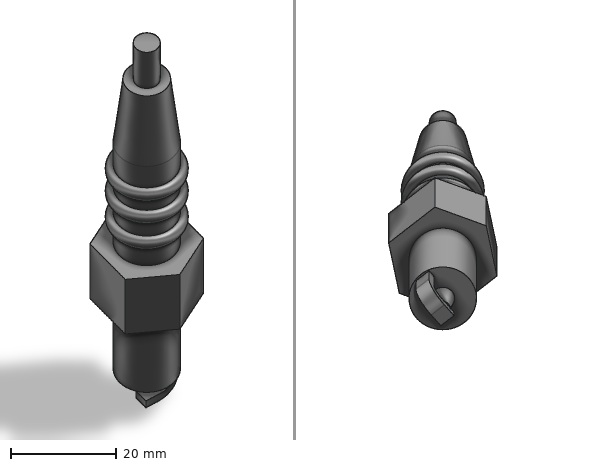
import cadquery as cq

total_height = 98.8
body_bottom = 8.8
lower_length = 20.0
nut_height = 15.1
taper_bottom = 71.3
taper_top = 88.8

body_radius = 6.4
taper_top_radius = 4.5
terminal_radius = 2.6

nut_across_corners = 21.5
nut_across_flats = 18.4
nut_flat_width = 11.5

ring_section_radius = 1.5
ring_heights = (50.6, 57.7, 63.9)

electrode_length = 5.0
electrode_base_radius = 2.3
electrode_tip_radius = 1.4

strap_width = 3.3
strap_outer_y = 6.0
strap_leg_thickness = 1.5
strap_foot_thickness = 1.9
strap_tip_y = -1.4
strap_outer_radius = 4.5
strap_inner_radius = 2.1

nut_bottom = body_bottom + lower_length


def make_core():
    """Revolve the body, its upper taper, the terminal and the electrode."""
    electrode_bottom = body_bottom - electrode_length
    return (
        cq.Workplane("XZ")
        .moveTo(0, electrode_bottom)
        .lineTo(electrode_tip_radius, electrode_bottom)
        .lineTo(electrode_base_radius, body_bottom)
        .lineTo(body_radius, body_bottom)
        .lineTo(body_radius, taper_bottom)
        .lineTo(taper_top_radius, taper_top)
        .lineTo(terminal_radius, taper_top)
        .lineTo(terminal_radius, total_height)
        .lineTo(0, total_height)
        .close()
        .revolve(360, (0, 0, 0), (0, 1, 0))
    )


def make_nut():
    half_corners = nut_across_corners / 2
    half_flats = nut_across_flats / 2
    half_width = nut_flat_width / 2
    corners = [
        (half_corners, 0),
        (half_width, half_flats),
        (-half_width, half_flats),
        (-half_corners, 0),
        (-half_width, -half_flats),
        (half_width, -half_flats),
    ]
    return (
        cq.Workplane("XY")
        .workplane(offset=nut_bottom)
        .polyline(corners)
        .close()
        .extrude(nut_height)
    )


def make_ring(height):
    return (
        cq.Workplane("XZ")
        .center(body_radius, height)
        .circle(ring_section_radius)
        .revolve(360, (-body_radius, 0, 0), (-body_radius, 1, 0))
    )


def make_strap():
    """Extrude the bent strap profile symmetrically across X."""
    inner_y = strap_outer_y - strap_leg_thickness
    return (
        cq.Workplane("YZ")
        .moveTo(strap_outer_y, body_bottom)
        .lineTo(strap_outer_y, strap_outer_radius)
        .radiusArc((strap_outer_y - strap_outer_radius, 0), strap_outer_radius)
        .lineTo(strap_tip_y, 0)
        .lineTo(strap_tip_y, strap_foot_thickness)
        .lineTo(inner_y - strap_inner_radius, strap_foot_thickness)
        .radiusArc((inner_y, strap_foot_thickness + strap_inner_radius), -strap_inner_radius)
        .lineTo(inner_y, body_bottom)
        .close()
        .extrude(strap_width / 2, both=True)
    )


result = make_core().union(make_nut()).union(make_strap())
for ring_height in ring_heights:
    result = result.union(make_ring(ring_height))